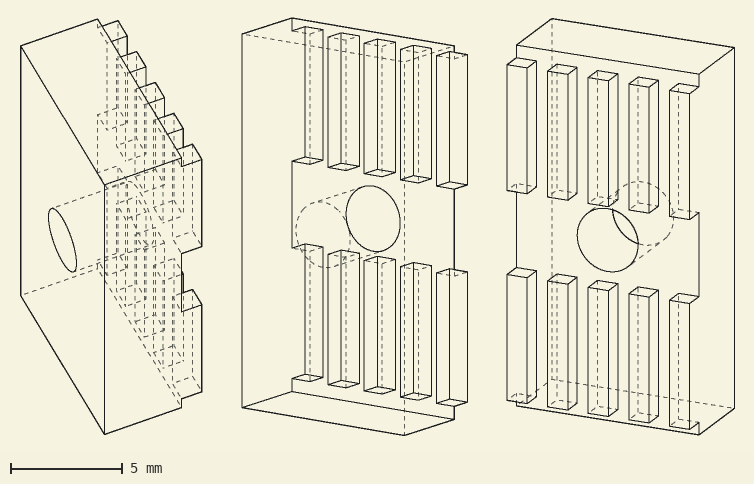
import cadquery as cq

width = 9.0
body_depth = 3.8
height = 17.2
hole_diameter = 3.0

tooth_count = 5
tooth_width = 1.0
tooth_depth = 1.0
tooth_length = 6.0
bank_gap = 4.0

tooth_pitch = (width - tooth_width) / (tooth_count - 1)
bank_offset = (bank_gap + tooth_length) / 2


def make_body():
    """Rectangular block centred on X and Z, with its front face at Y = 0."""
    return cq.Workplane("XY").box(width, body_depth, height, centered=(True, False, True))


def make_teeth():
    """Both banks of teeth, standing on the back face of the block."""
    first_tooth_x = -(width - tooth_width) / 2
    centers = [
        (first_tooth_x + index * tooth_pitch, body_depth, bank_z)
        for bank_z in (-bank_offset, bank_offset)
        for index in range(tooth_count)
    ]
    tooth = cq.Workplane("XY").box(tooth_width, tooth_depth, tooth_length, centered=(True, False, True))
    return cq.Workplane("XY").pushPoints(centers).eachpoint(
        lambda location: tooth.val().moved(location), combine=False
    )


def make_hole():
    """Round cutter through the middle of the block along Y."""
    return cq.Workplane("XZ").circle(hole_diameter / 2).extrude(-body_depth)


result = make_body().union(make_teeth()).cut(make_hole())